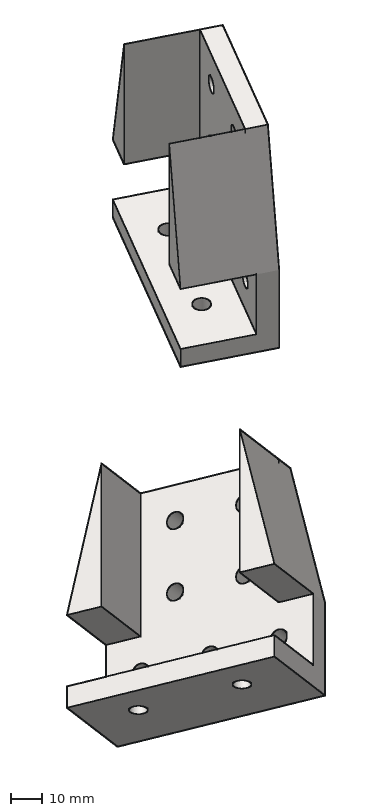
import cadquery as cq

width = 76.2
depth = 32.9
height = 83.7

thickness = 7.6
top_width = 50.7
wing_bottom = depth

hole_diameter = 6.0
pitch = top_width / 2
edge_distance = pitch / 2
base_hole_spacing = 38.0


def extrude_back(outline):
    """Extrude an XZ outline over the full depth, from y = 0 to y = depth."""
    return outline.extrude(-depth)


def base_and_back():
    """L-shaped bracket: base plate plus back plate with tapered upper sides."""
    outline = (
        cq.Workplane("XZ")
        .moveTo(-width / 2, 0)
        .lineTo(width / 2, 0)
        .lineTo(width / 2, wing_bottom)
        .lineTo(top_width / 2, height)
        .lineTo(-top_width / 2, height)
        .lineTo(-width / 2, wing_bottom)
        .close()
    )
    space_above_base = cq.Workplane("XY").box(
        width, depth - thickness, height - thickness, centered=(True, False, False)
    ).translate((0, 0, thickness))
    return extrude_back(outline).cut(space_above_base)


def wing(side):
    """Triangular side wing, tapering to an edge at the top; side is -1 or 1."""
    outline = (
        cq.Workplane("XZ")
        .moveTo(side * top_width / 2, wing_bottom)
        .lineTo(side * width / 2, wing_bottom)
        .lineTo(side * top_width / 2, height)
        .close()
    )
    return extrude_back(outline)


def back_holes():
    """Two rows of two holes above one row of three, along Y."""
    upper_z = height - edge_distance
    points = [(x, upper_z - row * pitch) for row in range(2) for x in (-pitch / 2, pitch / 2)]
    points += [(x, upper_z - 2 * pitch) for x in (-pitch, 0, pitch)]
    return extrude_back(cq.Workplane("XZ").pushPoints(points).circle(hole_diameter / 2))


def base_holes():
    """Two vertical holes through the base plate."""
    points = [(side * base_hole_spacing / 2, edge_distance) for side in (-1, 1)]
    return cq.Workplane("XY").pushPoints(points).circle(hole_diameter / 2).extrude(thickness)


bracket = base_and_back()
for side in (-1, 1):
    bracket = bracket.union(wing(side))

result = bracket.cut(back_holes()).cut(base_holes())